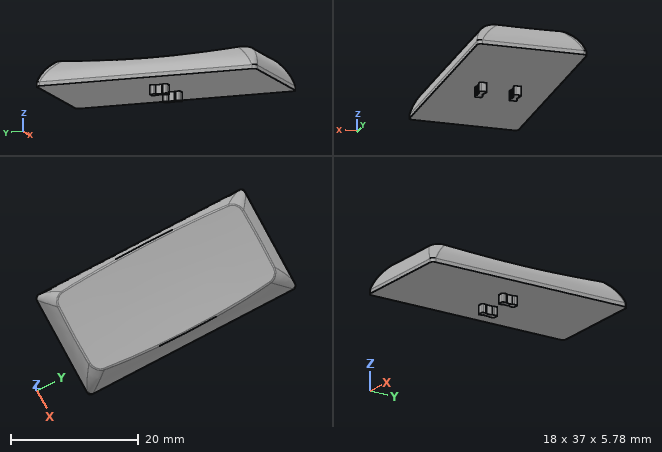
import cadquery as cq
import math

width = 18.0
length = 37.0

rim_height = 0.7

flank_radius = 6.05
flank_start_lean = math.radians(10)
flank_height = 3.92
flank_section_count = 6

rim_corner_radius = 0.65
corner_radius_growth = 0.33

dish_radius = 148.0
dish_bottom_height = 3.3
dish_edge_radius = 0.37

leg_spacing = 5.7
leg_width = 1.15
leg_length = 2.9
leg_height = 1.48
leg_corner_radius = 0.2
leg_waist_depth = 0.15
leg_waist_length = 1.0
leg_waist_mouth = 1.48


def flank_inset(height):
    """Inward distance of the flank arc at a height above the rim."""
    start_rise = flank_radius * math.sin(flank_start_lean)
    start_reach = flank_radius * math.cos(flank_start_lean)
    return start_reach - math.sqrt(flank_radius**2 - (start_rise + height) ** 2)


def cap_section(height):
    """Rounded rectangle of the cap at a height above the rim."""
    inset = flank_inset(height)
    corner_radius = rim_corner_radius + corner_radius_growth * height
    outline = cq.Sketch().rect(width - 2 * inset, length - 2 * inset)
    return outline.vertices().fillet(corner_radius)


def make_rim():
    return cq.Workplane("XY").placeSketch(cap_section(0)).extrude(rim_height)


def make_flanks():
    """Smooth loft through evenly spaced cap sections, tall enough to be trimmed by the dish."""
    sections = []
    for i in range(flank_section_count):
        height = flank_height * i / (flank_section_count - 1)
        position = cq.Location(cq.Vector(0, 0, rim_height + height))
        sections.append(cap_section(height).moved(position))
    return cq.Workplane("XY").placeSketch(*sections).loft()


def make_dish():
    dish = cq.Workplane("XZ").sphere(dish_radius)
    return dish.translate((0, 0, dish_bottom_height + dish_radius))


def make_leg(center_x):
    """Leg below the cap, pinched on both sides, with its four end corners rounded."""
    half_width = leg_width / 2
    half_length = leg_length / 2
    waist_x = half_width - leg_waist_depth
    right_side = [
        (half_width, -half_length),
        (half_width, -leg_waist_mouth / 2),
        (waist_x, -leg_waist_length / 2),
        (waist_x, leg_waist_length / 2),
        (half_width, leg_waist_mouth / 2),
        (half_width, half_length),
    ]
    left_side = [(-x, -y) for x, y in right_side]
    leg = cq.Workplane("XY").polyline(right_side + left_side).close().extrude(-leg_height)
    waist_region = cq.selectors.BoxSelector(
        (-leg_width, -leg_waist_mouth / 2, -leg_height),
        (leg_width, leg_waist_mouth / 2, 0),
    )
    end_corners = cq.selectors.StringSyntaxSelector("|Z") - waist_region
    leg = leg.edges(end_corners).fillet(leg_corner_radius)
    return leg.translate((center_x, 0, 0))


def make_dished_flanks():
    """Flanks with the dish cut into the top and its edge rounded."""
    dished = make_flanks().cut(make_dish())
    dish_face = dished.faces(cq.selectors.NearestToPointSelector((0, 0, dish_bottom_height)))
    return dish_face.edges().fillet(dish_edge_radius)


result = make_rim().union(make_dished_flanks())
for side in (-1, 1):
    result = result.union(make_leg(side * leg_spacing / 2))